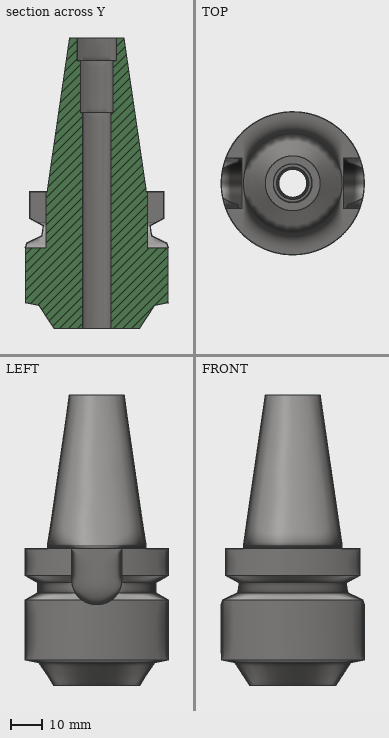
import cadquery as cq
import math


gauge_diameter = 31.75
taper_length = 48.4
taper_ratio = 7 / 24
taper_tip_diameter = gauge_diameter - taper_length * taper_ratio

flange_diameter = 46.0
flange_top_z = -1.0
groove_diameter = 38.0
groove_center_z = -13.55
groove_floor_width = 3.3
groove_wall_angle = 30.0
groove_depth = (flange_diameter - groove_diameter) / 2
groove_wall_height = groove_depth * math.tan(math.radians(groove_wall_angle))
groove_mouth_width = groove_floor_width + 2 * groove_wall_height

overall_length = 93.4
nut_bottom_z = taper_length - overall_length
nut_rim_z = -36.7
nut_shoulder_z = -37.6
nut_shoulder_diameter = 37.2
nut_nose_diameter = 27.5

slot_width = 16.1
slot_floor_offset = 16.3
slot_bottom_z = -19.0

tip_bore_diameter = 12.5
tip_bore_depth = 7.3
middle_bore_diameter = 10.4
middle_bore_depth = 24.0
through_bore_diameter = 9.0


def make_body():
    """Revolve the outer profile of shank, grooved flange and nut."""
    outline = [
        (0, taper_length),
        (taper_tip_diameter / 2, taper_length),
        (gauge_diameter / 2, 0),
        (gauge_diameter / 2, flange_top_z),
        (flange_diameter / 2, flange_top_z),
        (flange_diameter / 2, groove_center_z + groove_mouth_width / 2),
        (groove_diameter / 2, groove_center_z + groove_floor_width / 2),
        (groove_diameter / 2, groove_center_z - groove_floor_width / 2),
        (flange_diameter / 2, groove_center_z - groove_mouth_width / 2),
        (flange_diameter / 2, nut_rim_z),
        (nut_shoulder_diameter / 2, nut_shoulder_z),
        (nut_nose_diameter / 2, nut_bottom_z),
        (0, nut_bottom_z),
    ]
    return cq.Workplane("XZ").polyline(outline).close().revolve(360, (0, 0, 0), (0, 1, 0))


def make_drive_slot():
    """Round-bottomed slot on the +X side, open at the flange top."""
    radius = slot_width / 2
    center_z = slot_bottom_z + radius
    depth = flange_diameter / 2 - slot_floor_offset
    return (
        cq.Workplane("YZ", origin=(slot_floor_offset, 0, 0))
        .moveTo(-radius, flange_top_z)
        .lineTo(-radius, center_z)
        .threePointArc((0, slot_bottom_z), (radius, center_z))
        .lineTo(radius, flange_top_z)
        .close()
        .extrude(depth)
    )


def make_bore(diameter, depth):
    """Cylinder sunk from the shank tip to the given depth."""
    return cq.Workplane("XY", origin=(0, 0, taper_length)).circle(diameter / 2).extrude(-depth)


result = make_body()
result = result.cut(make_bore(tip_bore_diameter, tip_bore_depth))
result = result.cut(make_bore(middle_bore_diameter, middle_bore_depth))
result = result.cut(make_bore(through_bore_diameter, overall_length))
for side_angle in (0, 180):
    slot = make_drive_slot().rotate((0, 0, 0), (0, 0, 1), side_angle)
    result = result.cut(slot)